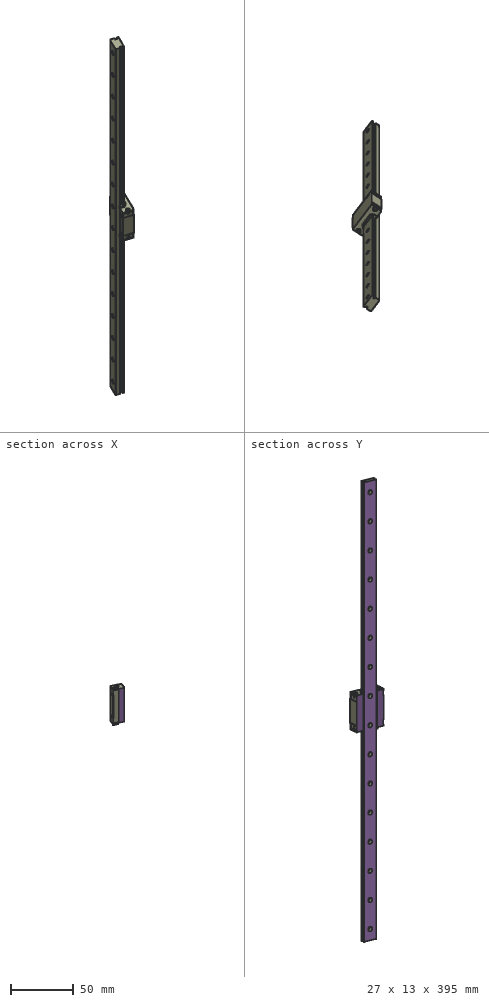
import cadquery as cq

carriage_width = 27.0
carriage_bottom = 3.0
carriage_top = 13.0
block_length = 20.5
body_length = 32.0
lower_edge_chamfer = 0.5
slot_width = 13.5
slot_side_clearance = 0.7
slot_top_clearance = 0.5
slot_mouth_chamfer = 0.8
half_slot = slot_width / 2

rail_length = 395.0
rail_width = slot_width - 2 * slot_side_clearance
rail_height = 7.5
rail_base_chamfer = 0.5
groove_bottom = 4.0
groove_top = 6.5
groove_depth = 1.4
groove_floor_bottom = 4.5
groove_floor_top = 5.5
rail_hole_count = 16
rail_hole_diameter = 3.5
rail_hole_end_distance = 10.0
rail_hole_pitch = (rail_length - 2 * rail_hole_end_distance) / (rail_hole_count - 1)

cap_lower_inset = 0.2
pad_side_inset = 0.1
cap_side_inset = 0.25
pad_width = carriage_width - 2 * pad_side_inset
cap_width = carriage_width - 2 * cap_side_inset
cap_bottom = carriage_bottom + cap_lower_inset
pad_margin = 1.0
end_wall = 0.8
screw_hole_diameter = 2.45
screw_hole_depth = 3.5
screw_recess_diameter = 3.5
screw_recess_depth = 1.5
screw_x = 11.5
screw_y = 8.3

seal_thickness = 1.0
seal_half_width = 7.5
seal_half_top = 5.5
seal_shoulder = 6.7
seal_top = 9.0


def prism(outline, length):
    """Extrude an XY outline along Z, centred on Z = 0."""
    return cq.Workplane("XY").polyline(outline).close().extrude(length / 2, both=True)


def mirrored(right_side):
    """Close a right-hand outline, listed upward, with its mirror image across X = 0."""
    return right_side + [(-x, y) for x, y in reversed(right_side)]


def box_spanning(width, bottom, top, length):
    """Box centred on X and Z that spans from bottom to top along Y."""
    return prism(mirrored([(width / 2, bottom), (width / 2, top)]), length)


def chamfered_bar(width, bottom, top, length):
    """Bar of the carriage with its two long lower edges chamfered."""
    bar = box_spanning(width, bottom, top, length)
    return bar.edges("|Z and <Y").chamfer(lower_edge_chamfer)


def rail_bar():
    """Rail without its holes: chamfered base and a ball groove along each side."""
    half_width = rail_width / 2
    groove_floor = half_width - groove_depth
    right_side = [
        (half_width - rail_base_chamfer, 0),
        (half_width, rail_base_chamfer),
        (half_width, groove_bottom),
        (groove_floor, groove_floor_bottom),
        (groove_floor, groove_floor_top),
        (half_width, groove_top),
        (half_width, rail_height),
    ]
    return prism(mirrored(right_side), rail_length)


def make_rail():
    """Rail with its row of through holes for mounting screws."""
    first_hole = rail_hole_end_distance - rail_length / 2
    centres = [(0, first_hole + i * rail_hole_pitch) for i in range(rail_hole_count)]
    holes = cq.Workplane("XZ").pushPoints(centres).circle(rail_hole_diameter / 2).extrude(-rail_height)
    return rail_bar().cut(holes)


def carriage_body():
    """Central block, with the end caps and their raised side pads."""
    block = chamfered_bar(carriage_width, carriage_bottom, carriage_top, block_length)
    caps = chamfered_bar(cap_width, cap_bottom, carriage_top, body_length)
    pad_length = body_length - 2 * pad_margin
    pads = chamfered_bar(pad_width, cap_bottom, carriage_top - pad_margin, pad_length)
    return block.union(caps).union(pads)


def seals():
    """Seal strips that stand out from both ends of the carriage around the rail."""
    right_side = [
        (seal_half_width, cap_bottom),
        (seal_half_width, seal_shoulder),
        (seal_half_top, seal_top),
    ]
    return prism(mirrored(right_side), body_length + 2 * seal_thickness)


def rail_slot():
    """Clearance slot inside the carriage, between the two end walls."""
    return box_spanning(slot_width, 0, rail_height + slot_top_clearance, body_length - 2 * end_wall)


def slot_mouth():
    """Chamfered mouth of the slot along the block."""
    right_side = [
        (half_slot + slot_mouth_chamfer, carriage_bottom),
        (half_slot, carriage_bottom + slot_mouth_chamfer),
    ]
    return prism(mirrored(right_side), block_length)


def cut_screw_holes(carriage):
    """Cut the recessed screw holes into both end faces."""
    centres = [(-screw_x, screw_y), (screw_x, screw_y)]
    for end in (-1, 1):
        face = cq.Workplane("XY").workplane(offset=end * body_length / 2).pushPoints(centres)
        carriage = carriage.cut(face.circle(screw_recess_diameter / 2).extrude(-end * screw_recess_depth))
        carriage = carriage.cut(face.circle(screw_hole_diameter / 2).extrude(-end * screw_hole_depth))
    return carriage


def make_carriage():
    """Carriage whose end walls and seals follow the rail, with a clearance slot between them."""
    carriage = carriage_body().union(seals())
    carriage = carriage.cut(rail_slot()).cut(slot_mouth()).cut(rail_bar())
    return cut_screw_holes(carriage)


rail = make_rail()
carriage = make_carriage()

result = cq.Compound.makeCompound([rail.val(), carriage.val()])